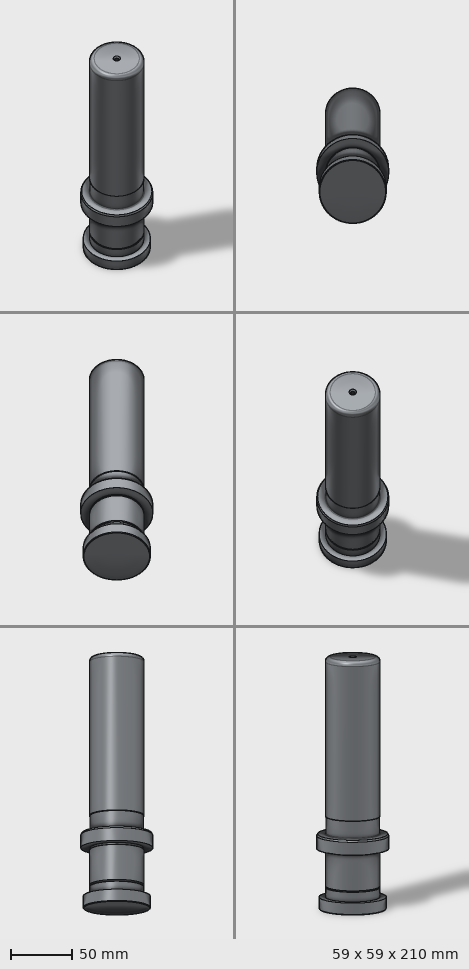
import cadquery as cq

total_height = 210.0
shaft_radius = 22.5
collar_radius = 59.0 / 2
neck_radius = 22.0
head_radius = 27.5

head_height = 10.0
joint_height = 18.0
undercut_height = 48.7
collar_bottom = 50.5
collar_top = 62.5
neck_top = 77.0

cap_boss_radius = 22.3
cap_edge_chamfer = 0.6
pillar_foot_chamfer = 1.3
undercut_radius = 21.8
collar_chamfer_width = 0.8
collar_chamfer_height = 1.5
neck_fillet = 0.6
neck_taper_height = 0.5
crown_radius = 4.0

hole_radius = 1.7
hole_mouth_radius = 3.0
hole_depth = 8.5
hole_tip_depth = 1.0


def make_end_cap():
    """Flanged cap below the pillar."""
    flange = cq.Workplane("XY").circle(head_radius).extrude(head_height)
    flange = flange.faces("<Z").edges().chamfer(cap_edge_chamfer)
    boss = cq.Workplane("XY").circle(cap_boss_radius).extrude(joint_height)
    return flange.union(boss)


def make_pillar_blank():
    """Turned pillar with its collar, undercut, neck and foot chamfer."""
    profile = (
        cq.Workplane("XZ")
        .moveTo(0, joint_height)
        .lineTo(shaft_radius - pillar_foot_chamfer, joint_height)
        .lineTo(shaft_radius, joint_height + pillar_foot_chamfer)
        .lineTo(shaft_radius, undercut_height)
        .lineTo(undercut_radius, undercut_height)
        .lineTo(undercut_radius, collar_bottom)
        .lineTo(collar_radius, collar_bottom)
        .lineTo(collar_radius, collar_top - collar_chamfer_height)
        .lineTo(collar_radius - collar_chamfer_width, collar_top)
        .lineTo(neck_radius + neck_fillet, collar_top)
        .radiusArc((neck_radius, collar_top + neck_fillet), neck_fillet)
        .lineTo(neck_radius, neck_top)
        .lineTo(shaft_radius, neck_top + neck_taper_height)
        .lineTo(shaft_radius, total_height)
        .lineTo(0, total_height)
        .close()
    )
    return profile.revolve(360, (0, 0, 0), (0, 1, 0))


def make_centre_hole():
    """Cutter for the centre hole: 90 degree mouth, straight bore and conical tip."""
    mouth_bottom = total_height - (hole_mouth_radius - hole_radius)
    bore_bottom = total_height - hole_depth
    profile = (
        cq.Workplane("XZ")
        .moveTo(0, total_height)
        .lineTo(hole_mouth_radius, total_height)
        .lineTo(hole_radius, mouth_bottom)
        .lineTo(hole_radius, bore_bottom)
        .lineTo(0, bore_bottom - hole_tip_depth)
        .close()
    )
    return profile.revolve(360, (0, 0, 0), (0, 1, 0))


def make_pillar():
    """Pillar with a rounded top edge and a centre hole."""
    body = make_pillar_blank()
    body = body.faces(">Z").edges().fillet(crown_radius)
    return body.cut(make_centre_hole())


end_cap = make_end_cap()
pillar = make_pillar()

result = cq.Compound.makeCompound([end_cap.val(), pillar.val()])